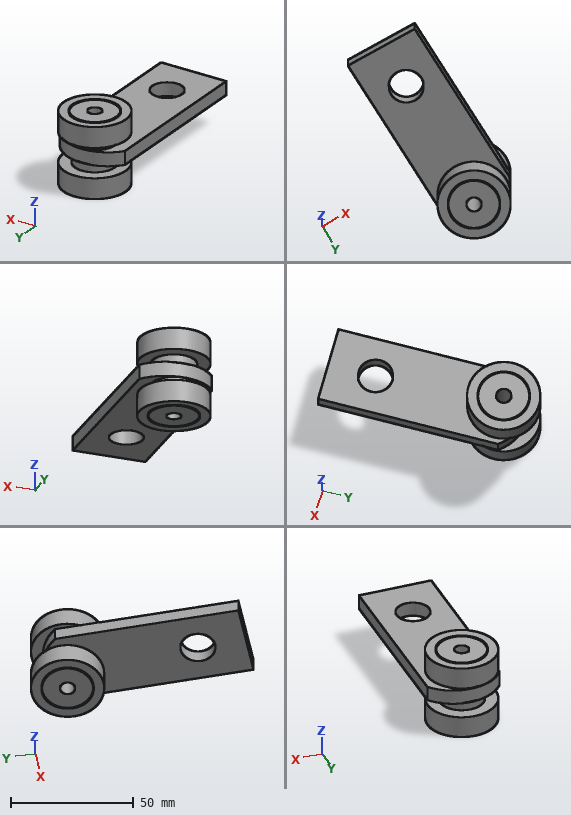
import cadquery as cq

overall_length = 89.4
overall_height = 33.0

roller_diameter = 30.0
roller_width = 9.6
hub_diameter = 19.1
bore_diameter = 6.2

arm_width = 31.8
arm_thickness = 6.35
arm_rear = roller_diameter / 2 - overall_length
arc_start = 2.0
arm_tip = 9.9
arm_hole_diameter = 14.3
arm_hole_y = -54.35

groove_outer_diameter = 21.5
groove_inner_diameter = 20.9
groove_depth = 0.3


def make_arm():
    """Bar centred on Z = 0 with an arched tip and a mounting hole."""
    half_width = arm_width / 2
    return (
        cq.Workplane("XY", origin=(0, 0, -arm_thickness / 2))
        .moveTo(-half_width, arm_rear)
        .lineTo(half_width, arm_rear)
        .lineTo(half_width, arc_start)
        .threePointArc((0, arm_tip), (-half_width, arc_start))
        .close()
        .moveTo(0, arm_hole_y)
        .circle(arm_hole_diameter / 2)
        .extrude(arm_thickness)
    )


def make_upper_roller():
    """Roller above the arm, with the groove in its top face."""
    top = overall_height / 2
    roller = (
        cq.Workplane("XY", origin=(0, 0, top - roller_width))
        .circle(roller_diameter / 2)
        .extrude(roller_width)
    )
    groove = (
        cq.Workplane("XY", origin=(0, 0, top - groove_depth))
        .circle(groove_outer_diameter / 2)
        .circle(groove_inner_diameter / 2)
        .extrude(groove_depth)
    )
    return roller.cut(groove)


upper_roller = make_upper_roller()
lower_roller = upper_roller.mirror("XY")
hub_height = overall_height - 2 * roller_width
hub = cq.Workplane("XY").circle(hub_diameter / 2).extrude(hub_height / 2, both=True)
bore = cq.Workplane("XY").circle(bore_diameter / 2).extrude(overall_height / 2, both=True)

result = make_arm().union(hub).union(upper_roller).union(lower_roller).cut(bore)